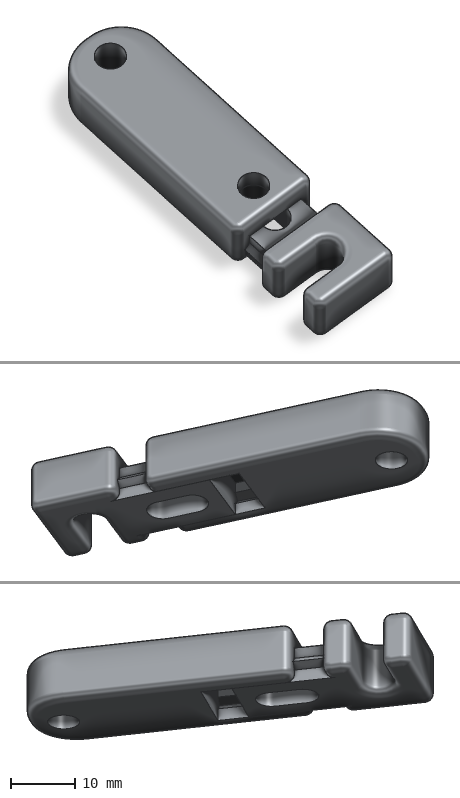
import cadquery as cq

total_length = 63.15
width = 16.0
height = 9.1
edge_radius = 1.45

housing_length = 43.95
end_flat = 1.0
end_radius = (width - end_flat) / 2
hole_diameter = 5.0
lanyard_hole_x = 5.5
pin_hole_x = 38.9

head_length = 14.2
head_start = total_length - head_length
head_center_x = head_start + head_length / 2
mouth_width = 5.05

tongue_half_width = 5.35
tongue_height = 5.8
ridge_depth = 1.0
ridge_middle_z = 3.0
ridge_top_z = ridge_middle_z + ridge_depth
ridge_bottom_z = ridge_middle_z - ridge_depth

travel = head_start - housing_length
slot_end_wall = 2.5
tongue_start = pin_hole_x - hole_diameter / 2 - slot_end_wall
channel_start = tongue_start - travel


def tongue_bar(start_x, end_x):
    """Bar with the ridged tongue profile, running from start_x to end_x."""
    ridge_half_width = tongue_half_width + ridge_depth
    right_side = [
        (tongue_half_width, 0),
        (tongue_half_width, ridge_bottom_z),
        (ridge_half_width, ridge_middle_z),
        (tongue_half_width, ridge_top_z),
        (tongue_half_width, tongue_height),
    ]
    left_side = [(-y, z) for y, z in reversed(right_side)]
    return (
        cq.Workplane("YZ", origin=(start_x, 0, 0))
        .polyline(right_side + left_side)
        .close()
        .extrude(end_x - start_x)
    )


def make_housing():
    """Rounded cover with a channel for the tongue, open below and at the +X end."""
    body = cq.Workplane("XY").box(housing_length, width, height, centered=(False, True, False))
    body = body.edges("|Z and <X").fillet(end_radius)
    body = body.edges("|Z and >X").fillet(edge_radius)
    body = body.faces("<Z or >Z").edges().fillet(edge_radius)
    holes = (
        cq.Workplane("XY")
        .pushPoints([(lanyard_hole_x, 0), (pin_hole_x, 0)])
        .circle(hole_diameter / 2)
        .extrude(height)
    )
    channel = tongue_bar(channel_start, housing_length)
    return body.cut(holes).cut(channel)


def make_head():
    """Hook head with a round-ended mouth open toward -Y and all edges rounded."""
    block = (
        cq.Workplane("XY", origin=(head_start, 0, 0))
        .box(head_length, width, height, centered=(False, True, False))
    )
    mouth_end = cq.Workplane("XY").center(head_center_x, 0).circle(mouth_width / 2).extrude(height)
    mouth_sides = (
        cq.Workplane("XY")
        .center(head_center_x, -width / 4)
        .rect(mouth_width, width / 2)
        .extrude(height)
    )
    head = block.cut(mouth_end.union(mouth_sides))
    head = head.edges("|Z and (<Y or >Y)").fillet(edge_radius)
    return head.faces("<Z or >Z").edges().fillet(edge_radius)


def make_slider():
    """Hook head and slotted tongue in one piece."""
    tongue = tongue_bar(tongue_start, head_start + edge_radius)
    slot = (
        cq.Workplane("XY")
        .center(pin_hole_x + travel / 2, 0)
        .slot2D(travel + hole_diameter, hole_diameter)
        .extrude(tongue_height)
    )
    return make_head().union(tongue.cut(slot))


housing = make_housing()
slider = make_slider()

result = cq.Compound.makeCompound([*housing.solids().vals(), *slider.solids().vals()])